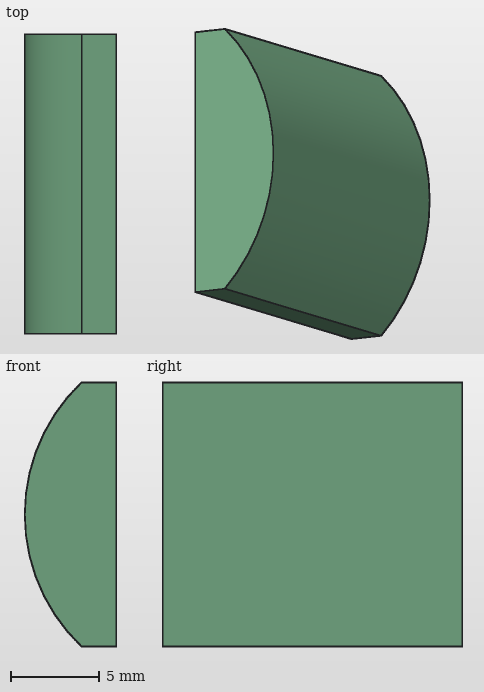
import cadquery as cq

thickness = 5.2
length = 17.0
height = 15.0
edge_thickness = 1.97

half_height = height / 2

result = (
    cq.Workplane("XZ")
    .moveTo(0, -half_height)
    .lineTo(0, half_height)
    .lineTo(-edge_thickness, half_height)
    .threePointArc((-thickness, 0), (-edge_thickness, -half_height))
    .close()
    .extrude(length / 2, both=True)
)